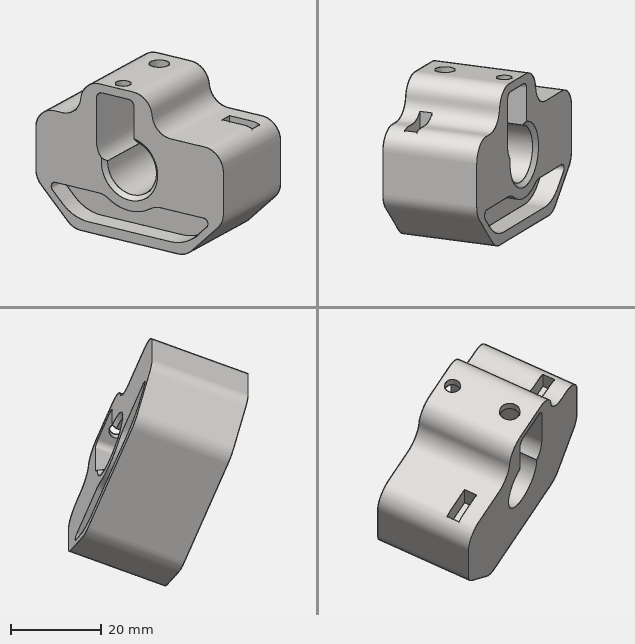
import cadquery as cq
import math

width = 50
depth = 23
height = 36
shoulder_height = 27
corner_radius = 5
bottom_chamfer = 10

tower_center_x = -3.5
tower_flat_width = 9
tower_side_run = 10

bore_center_z = 17.5
bore_radius = 6.5
bore_chamfer = 1

slot_center_x = -3.8
slot_width = 10
slot_top = 34
slot_round_center_z = 21.9
slot_corner_radius = 1.5

pocket_wall = 2.5
pocket_depth = 5
pocket_floor_z = pocket_wall
pocket_top_z = bore_center_z - bore_radius - bore_chamfer
pocket_half_width = width / 2 - pocket_wall
pocket_tip_radius = 1.15
pocket_bottom_radius = 10
pocket_arch_radius = bore_radius + bore_chamfer + pocket_wall
pocket_shoulder_radius = 5

recess_center_x = 18.05
recess_length = 8
recess_width = 3
recess_center_y = 17.5
recess_depth = 5
recess_floor_z = shoulder_height - recess_depth

roof_holes = [(4.5, 17.65), (3.5, 3.15)]


def front_plane():
    """Workplane on the front face; a negative extrusion goes into the block."""
    return cq.Workplane("XZ")


def fillet_mirrored_edges(solid, x, z, edge_depth, radius):
    """Round the edge along Y at (x, z) and its mirror image at (-x, z)."""
    for side in (-1, 1):
        edge = cq.selectors.NearestToPointSelector((side * x, edge_depth / 2, z))
        solid = solid.edges(edge).fillet(radius)
    return solid


def make_body():
    """Extrude the outer outline, with a smooth tower between two shoulders."""
    half_width = width / 2
    half_bottom = half_width - bottom_chamfer
    shoulder_end_x = half_width - corner_radius
    tower_mid_z = (height + shoulder_height) / 2
    half_flat = tower_flat_width / 2
    half_middle = half_flat + tower_side_run / 2
    half_foot = half_flat + tower_side_run
    outline = (
        front_plane()
        .moveTo(-half_bottom, 0)
        .lineTo(half_bottom, 0)
        .lineTo(half_width, bottom_chamfer)
        .lineTo(half_width, shoulder_height - corner_radius)
        .radiusArc((shoulder_end_x, shoulder_height), -corner_radius)
        .lineTo(tower_center_x + half_foot, shoulder_height)
        .tangentArcPoint((tower_center_x + half_middle, tower_mid_z), relative=False)
        .tangentArcPoint((tower_center_x + half_flat, height), relative=False)
        .lineTo(tower_center_x - half_flat, height)
        .tangentArcPoint((tower_center_x - half_middle, tower_mid_z), relative=False)
        .tangentArcPoint((tower_center_x - half_foot, shoulder_height), relative=False)
        .lineTo(-shoulder_end_x, shoulder_height)
        .radiusArc((-half_width, shoulder_height - corner_radius), -corner_radius)
        .lineTo(-half_width, bottom_chamfer)
        .close()
    )
    body = outline.extrude(-depth)
    body = fillet_mirrored_edges(body, half_bottom, 0, depth, corner_radius)
    return fillet_mirrored_edges(body, half_width, bottom_chamfer, depth, corner_radius)


def make_bore():
    """Through bore with its mouth widened to a cone at the front face."""
    mouth_radius = bore_radius + bore_chamfer
    profile = [
        (0, 0),
        (mouth_radius, 0),
        (bore_radius, bore_chamfer),
        (bore_radius, depth),
        (0, depth),
    ]
    bore = cq.Workplane("XY").polyline(profile).close().revolve(360, (0, 0), (0, 1))
    return bore.translate((0, 0, bore_center_z))


def make_slot():
    """Through slot with a round lower end and softened upper corners."""
    left = slot_center_x - slot_width / 2
    right = slot_center_x + slot_width / 2
    slot = (
        front_plane()
        .moveTo(left, slot_round_center_z)
        .lineTo(left, slot_top)
        .lineTo(right, slot_top)
        .lineTo(right, slot_round_center_z)
        .threePointArc((slot_center_x, slot_round_center_z - slot_width / 2), (left, slot_round_center_z))
        .close()
        .extrude(-depth)
    )
    upper_corners = slot.faces(">Z").edges("|Y")
    return upper_corners.fillet(slot_corner_radius)


def make_pocket():
    """Boat-shaped pocket with its top edge arched around the bore."""
    half_floor = pocket_half_width - (pocket_top_z - pocket_floor_z)
    arch_height = bore_center_z - pocket_top_z
    arch_half_width = math.sqrt(pocket_arch_radius**2 - arch_height**2)
    pocket = (
        front_plane()
        .moveTo(-half_floor, pocket_floor_z)
        .lineTo(half_floor, pocket_floor_z)
        .lineTo(pocket_half_width, pocket_top_z)
        .lineTo(arch_half_width, pocket_top_z)
        .threePointArc((0, bore_center_z - pocket_arch_radius), (-arch_half_width, pocket_top_z))
        .lineTo(-pocket_half_width, pocket_top_z)
        .close()
        .extrude(-pocket_depth)
    )
    corners = [
        (half_floor, pocket_floor_z, pocket_bottom_radius),
        (pocket_half_width, pocket_top_z, pocket_tip_radius),
        (arch_half_width, pocket_top_z, pocket_shoulder_radius),
    ]
    for x, z, radius in corners:
        pocket = fillet_mirrored_edges(pocket, x, z, pocket_depth, radius)
    return pocket


def make_recesses():
    """One rectangular recess sunk into each shoulder."""
    return (
        cq.Workplane("XY", origin=(0, 0, recess_floor_z))
        .pushPoints([(-recess_center_x, recess_center_y), (recess_center_x, recess_center_y)])
        .rect(recess_length, recess_width)
        .extrude(height - recess_floor_z)
    )


def make_roof_hole(diameter, y):
    """Vertical hole from the tower top down into the slot."""
    roof_thickness = height - slot_top
    return (
        cq.Workplane("XY", origin=(slot_center_x, y, height))
        .circle(diameter / 2)
        .extrude(-roof_thickness)
    )


result = (
    make_body()
    .cut(make_bore())
    .cut(make_slot())
    .cut(make_pocket())
    .cut(make_recesses())
)
for hole_diameter, hole_y in roof_holes:
    result = result.cut(make_roof_hole(hole_diameter, hole_y))